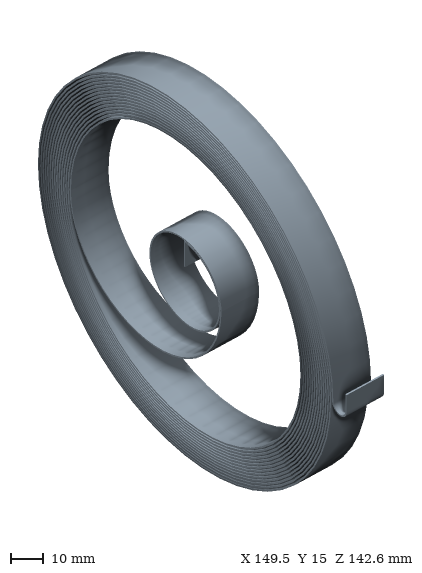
import cadquery as cq
import math

strip_thickness = 0.6
strip_width = 15.0
half_thickness = strip_thickness / 2

band_outer = 71.3
band_inner = 55.3
band_turns = 14
turn_pitch = (band_outer - band_inner - strip_thickness) / band_turns

eye_outer = 17.6
eye_gap = 0.07
tab_tip_height = 6.3

hook_end = 78.2
hook_tip_height = 7.2

eye_outer_radius = eye_outer - half_thickness
eye_inner_radius = eye_outer_radius - strip_thickness - eye_gap
eye_return_radius = (eye_inner_radius + eye_outer_radius) / 2

coil_start_x = -(band_inner + half_thickness)
lead_in_radius = (eye_outer_radius - coil_start_x) / 2
coil_start_radius = -coil_start_x + turn_pitch / 4
half_turns = 2 * band_turns + 1
coil_end_x = -coil_start_x + half_turns * turn_pitch / 2
hook_radius = (hook_end - half_thickness - coil_end_x) / 2


def strip_path():
    """Tangent arcs of the strip from the eye to the hook, as (radius, clockwise sweep in degrees)."""
    eye = [(eye_inner_radius, 180), (eye_return_radius, 180), (eye_outer_radius, 90)]
    lead_in = [(lead_in_radius, 180)]
    coil = [(coil_start_radius + i * turn_pitch / 2, 180) for i in range(half_turns)]
    hook = [(hook_radius, -180)]
    return eye + lead_in + coil + hook


def trace_side(offset):
    """Start point and (middle, end) points of the arcs lying `offset` to the left of the path."""
    x, z, heading = 0.0, eye_inner_radius, 0.0
    start = (x, z + offset)
    arcs = []
    for radius, sweep in strip_path():
        turn = math.copysign(1, sweep)
        centre_x = x + turn * radius * math.sin(heading)
        centre_z = z - turn * radius * math.cos(heading)

        def point_after(angle, distance):
            direction = heading - angle
            return (
                centre_x - turn * distance * math.sin(direction),
                centre_z + turn * distance * math.cos(direction),
            )

        total = math.radians(sweep)
        side_radius = radius + turn * offset
        arcs.append((point_after(total / 2, side_radius), point_after(total, side_radius)))
        x, z = point_after(total, radius)
        heading -= total
    return start, arcs


def coiled_strip():
    """Constant-thickness strip through eye, lead-in, coil and hook, with the straight hook tip."""
    left_start, left_arcs = trace_side(half_thickness)
    right_start, right_arcs = trace_side(-half_thickness)

    outline = cq.Workplane("XZ").moveTo(*left_start)
    for middle, end in left_arcs:
        outline = outline.threePointArc(middle, end)
    _, left_end = left_arcs[-1]
    _, right_end = right_arcs[-1]
    outline = outline.lineTo(left_end[0], hook_tip_height)
    outline = outline.lineTo(right_end[0], hook_tip_height)
    outline = outline.lineTo(*right_end)
    arc_starts = [right_start] + [end for _, end in right_arcs[:-1]]
    for (middle, _), arc_start in zip(reversed(right_arcs), reversed(arc_starts)):
        outline = outline.threePointArc(middle, arc_start)
    return outline.close().extrude(strip_width / 2, both=True)


def inner_tab():
    """Straight end of the strip, bent from the top of the eye towards its centre."""
    tab_length = eye_inner_radius + half_thickness - tab_tip_height
    tab = cq.Workplane("XY").box(strip_thickness, strip_width, tab_length, centered=(True, True, False))
    return tab.translate((-half_thickness, 0, tab_tip_height))


result = coiled_strip().union(inner_tab())